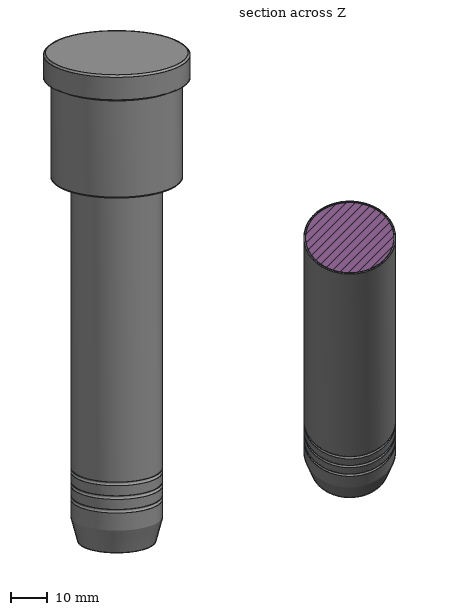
import cadquery as cq
import math

total_length = 140.0
head_diameter = 40.0
head_height = 7.0
head_chamfer = 0.5
body_diameter = 36.0
body_end_depth = 36.0
body_chamfer = 0.4
shank_diameter = 25.0
relief_width = 1.0
relief_depth = 0.4
groove_radius = 0.5
groove_count = 3
groove_pitch = 3.9
lowest_groove_height = 12.6
tip_length = 7.0
tip_angle = 15.0
tip_edge_radius = 0.3

head_bottom = total_length - head_height
body_bottom = total_length - body_end_depth
shank_radius = shank_diameter / 2
tip_radius = shank_radius - tip_length * math.tan(math.radians(tip_angle))


def cylinder(diameter, bottom, top):
    """Solid cylinder on the Z axis between two heights."""
    return cq.Workplane("XY").workplane(offset=bottom).circle(diameter / 2).extrude(top - bottom)


def ring_cut(diameter, bottom, width, depth):
    """Ring that cuts a square groove into a cylinder of the given diameter."""
    return (
        cq.Workplane("XY").workplane(offset=bottom)
        .circle(diameter / 2 + depth)
        .circle(diameter / 2 - depth)
        .extrude(width)
    )


head = cylinder(head_diameter, head_bottom, total_length).faces(">Z").chamfer(head_chamfer)
body = cylinder(body_diameter, body_bottom, head_bottom).faces("<Z").chamfer(body_chamfer)

shank = (
    cq.Workplane("XZ")
    .polyline([
        (0, 0),
        (tip_radius, 0),
        (shank_radius, tip_length),
        (shank_radius, body_bottom),
        (0, body_bottom),
    ])
    .close()
    .revolve(360, (0, 0), (0, 1))
    .faces("<Z")
    .edges()
    .fillet(tip_edge_radius)
)
result = head.union(body).union(shank)

result = result.cut(ring_cut(body_diameter, head_bottom - relief_width, relief_width, relief_depth))
result = result.cut(ring_cut(shank_diameter, body_bottom - relief_width, relief_width, relief_depth))

for index in range(groove_count):
    groove_height = lowest_groove_height + index * groove_pitch
    groove = cq.Solid.makeTorus(shank_radius, groove_radius, cq.Vector(0, 0, groove_height))
    result = result.cut(cq.Workplane(groove))